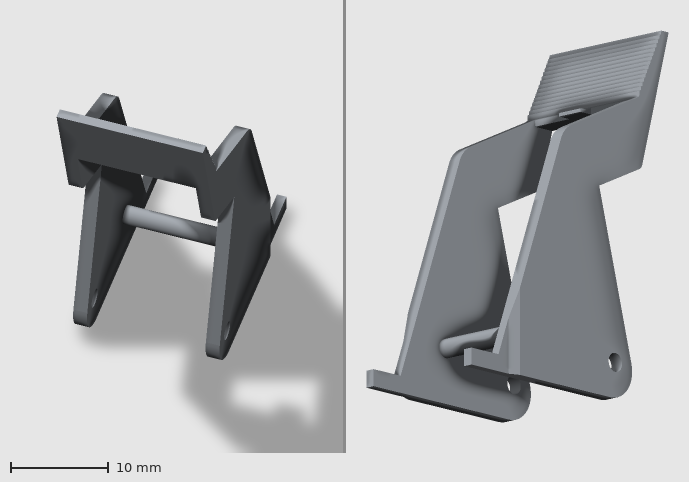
import cadquery as cq
import math

WIDTH = 15.8
LENGTH = 28.9
HEIGHT = 40.0
INNER_WIDTH = 12.8

SHALLOW_ANGLE = 25.0
REAR_ANGLE = 70.0
FRONT_ANGLE = 75.0
TAIL_HEIGHT = 1.8
TAIL_ROOT_Y = 24.9
KNEE_Y = 15.65
KNEE_RADIUS = 3.0
THROAT_Y = 10.35
CHIN_RADIUS = 0.8
FOOT_RADIUS = 3.25
FOOT_CENTER_Y = 8.7

TAIL_INSET = 0.5
TAPER_START_Y = 22.2
TAPER_END_Y = 23.4

HOLE_DIAMETER = 2.0
HOLE_Y = 7.95
HOLE_Z = 3.8
ROD_DIAMETER = 2.0
ROD_Y = 18.1
ROD_Z = 5.85

PLATE_TOP_THICKNESS = 1.1
PLATE_BOTTOM_Z = 31.55
PLATE_REAR_Y = 4.85
STEP_COUNT = 14
STEP_DEPTH = 0.23
RISER_HEIGHT = 0.4
RISER_ANGLE = 80.0
TREAD_ANGLE = 30.0

CATCH_WIDTH = 3.0
CATCH_END_Y = 6.4
CATCH_TIP_LENGTH = 0.8
CATCH_TOP_Z = 31.95
CATCH_TIP_RADIUS = 0.1

PICK_REACH = 0.05


def slope(angle):
    return math.tan(math.radians(angle))


KNEE_Z = TAIL_HEIGHT + (TAIL_ROOT_Y - KNEE_Y) * slope(REAR_ANGLE)


def upper_edge_z(y):
    """Height of the upper edge of the reach."""
    return KNEE_Z + (KNEE_Y - y) * slope(SHALLOW_ANGLE)


def plate_front_y(z):
    """Position of the front face of the grip plate."""
    return (HEIGHT - z) / slope(FRONT_ANGLE)


def extrude_across(profile, width):
    """Extrude a YZ profile symmetrically about the middle plane."""
    return profile.extrude(width).translate((-width / 2, 0, 0))


def stepped_face():
    """Points down the rear of the grip plate, from its top to the upper edge of the reach."""
    riser_depth = RISER_HEIGHT / slope(RISER_ANGLE)
    tread_depth = STEP_DEPTH - riser_depth
    tread_drop = tread_depth * slope(TREAD_ANGLE)
    points = []
    for step in range(STEP_COUNT):
        y = PLATE_TOP_THICKNESS + step * STEP_DEPTH
        z = HEIGHT - step * (RISER_HEIGHT + tread_drop)
        points.append((y, z))
        points.append((y + riser_depth, z - RISER_HEIGHT))
    last_y = PLATE_TOP_THICKNESS + STEP_COUNT * STEP_DEPTH
    last_z = HEIGHT - STEP_COUNT * (RISER_HEIGHT + tread_drop)
    rear_z = upper_edge_z(PLATE_REAR_Y)
    foot_y = last_y + riser_depth
    points.append((last_y, last_z))
    points.append((foot_y, rear_z + (PLATE_REAR_Y - foot_y) * slope(TREAD_ANGLE)))
    points.append((PLATE_REAR_Y, rear_z))
    return points


def foot_point(angle):
    """Point on the foot arc, at an angle above straight forward from its centre."""
    return (
        FOOT_CENTER_Y - FOOT_RADIUS * math.cos(angle),
        FOOT_RADIUS * (1 + math.sin(angle)),
    )


def side_outline():
    """Side outline and its chin point, with the corners at the knee and the chin still sharp."""
    tangent = math.radians(90 - FRONT_ANGLE)
    foot_front = foot_point(tangent)
    foot_middle = foot_point((tangent - math.pi / 2) / 2)
    throat_z = foot_front[1] + (THROAT_Y - foot_front[0]) * slope(FRONT_ANGLE)
    chin_y = (HEIGHT - throat_z - THROAT_Y * slope(SHALLOW_ANGLE)) / (
        slope(FRONT_ANGLE) - slope(SHALLOW_ANGLE)
    )
    chin_z = HEIGHT - chin_y * slope(FRONT_ANGLE)
    outline = (
        cq.Workplane("YZ")
        .moveTo(FOOT_CENTER_Y, 0)
        .threePointArc(foot_middle, foot_front)
        .lineTo(THROAT_Y, throat_z)
        .lineTo(chin_y, chin_z)
        .lineTo(0, HEIGHT)
        .polyline(stepped_face(), includeCurrent=True)
        .lineTo(KNEE_Y, KNEE_Z)
        .lineTo(TAIL_ROOT_Y, TAIL_HEIGHT)
        .lineTo(LENGTH, TAIL_HEIGHT)
        .lineTo(LENGTH, 0)
        .close()
    )
    return outline, (chin_y, chin_z)


def cross_edge(y, z):
    """Selector for the edges along X through a point of the side outline."""
    return cq.selectors.BoxSelector(
        (-WIDTH, y - PICK_REACH, z - PICK_REACH), (WIDTH, y + PICK_REACH, z + PICK_REACH)
    )


def solid_side():
    outline, chin = side_outline()
    body = extrude_across(outline, WIDTH)
    body = body.edges(cross_edge(KNEE_Y, KNEE_Z)).fillet(KNEE_RADIUS)
    return body.edges(cross_edge(*chin)).fillet(CHIN_RADIUS)


def arm_gap():
    """Space between the arms, leaving the grip plate across the top."""
    below = cq.Workplane("XY").box(
        INNER_WIDTH, LENGTH, PLATE_BOTTOM_Z, centered=(True, False, False)
    )
    behind = cq.Workplane("XY").box(
        INNER_WIDTH, LENGTH - PLATE_REAR_Y, HEIGHT, centered=(True, False, False)
    ).translate((0, PLATE_REAR_Y, 0))
    return below.union(behind)


def tail_relief(side):
    """Material removed from the outer face of one tail; side is -1 or 1."""
    outer = side * WIDTH / 2
    inner = outer - side * TAIL_INSET
    return (
        cq.Workplane("XY")
        .polyline([(outer, TAPER_START_Y), (inner, TAPER_END_Y), (inner, LENGTH), (outer, LENGTH)])
        .close()
        .extrude(HEIGHT)
    )


def cross_cylinder(diameter, y, z, width):
    return extrude_across(cq.Workplane("YZ").center(y, z).circle(diameter / 2), width)


def catch():
    tip_start_y = CATCH_END_Y - CATCH_TIP_LENGTH
    root_y = (plate_front_y(PLATE_BOTTOM_Z) + PLATE_REAR_Y) / 2
    profile = (
        cq.Workplane("YZ")
        .moveTo(root_y, PLATE_BOTTOM_Z)
        .lineTo(CATCH_END_Y, PLATE_BOTTOM_Z)
        .lineTo(CATCH_END_Y, CATCH_TOP_Z)
        .lineTo(tip_start_y, CATCH_TOP_Z)
        .lineTo(tip_start_y, upper_edge_z(tip_start_y))
        .lineTo(PLATE_REAR_Y, upper_edge_z(PLATE_REAR_Y))
        .lineTo(root_y, upper_edge_z(PLATE_REAR_Y))
        .close()
    )
    tongue = extrude_across(profile, CATCH_WIDTH)
    return tongue.edges(cross_edge(CATCH_END_Y, CATCH_TOP_Z)).fillet(CATCH_TIP_RADIUS)


result = solid_side().cut(arm_gap())
for side in (-1, 1):
    result = result.cut(tail_relief(side))
result = result.cut(cross_cylinder(HOLE_DIAMETER, HOLE_Y, HOLE_Z, WIDTH))
result = result.union(cross_cylinder(ROD_DIAMETER, ROD_Y, ROD_Z, INNER_WIDTH))
result = result.union(catch())